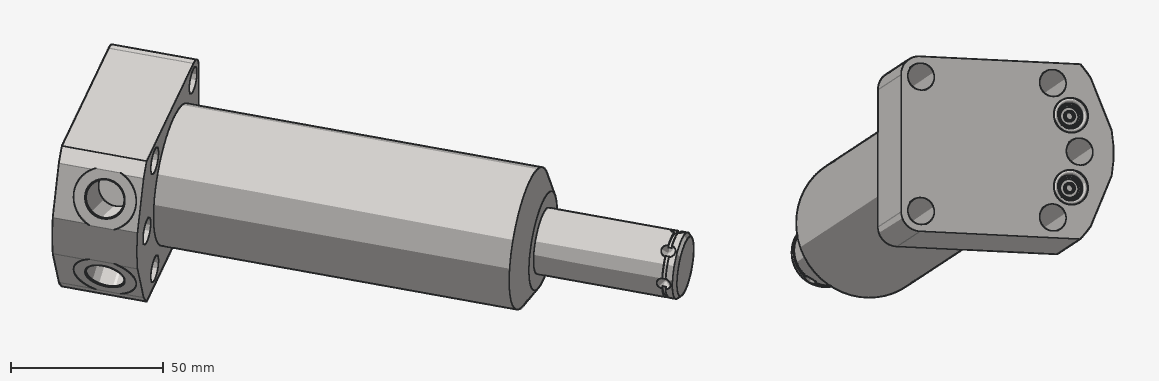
import math

import cadquery as cq

flange_thickness = 29.0
flange_half_width = 29.16
nose_radius = 43.1
back_corner_radius = 6.3
port_angle = 22.5
flat_half_angle = 12.5

mount_hole_diameter = 9.0
mount_hole_spacing = 44.8
nose_hole_offset = 31.5

port_x = 16.8
port_diameter = 12.9
port_mouth_diameter = 13.6
port_depth = 16.0
spotface_diameter = 21.3
spotface_depth = 0.1

valve_y = -28.6
valve_z = 12.0
valve_bore_radius = 5.8
rim_base_depth = 0.7
rim_crest_depth = 0.1
well_radius = 4.3
rim_crest_radius = (valve_bore_radius + well_radius) / 2
well_depth = 1.6
well_step_width = 0.6
well_step_depth = 0.5
stem_radius = 1.8
stem_hole_radius = 1.3
stem_hole_depth = 1.0

body_radius = 23.75
body_end_x = 155.1
body_taper_length = 4.6
body_tip_radius = 16.5

rod_radius = 11.1
rod_end_x = 203.73
rod_chamfer = 1.2
groove_setback = 4.2
groove_width = 1.2
groove_depth = 0.7
dimple_count = 6
dimple_radius = 2.4


def nose_point(angle, radius=nose_radius):
    """Point (Y, Z) at an angle from the -Y direction, positive toward +Z."""
    turn = math.radians(angle)
    return -radius * math.cos(turn), radius * math.sin(turn)


def make_flange():
    side_angle = math.degrees(math.asin(flange_half_width / nose_radius))
    flat_outer = port_angle + flat_half_angle
    flat_inner = port_angle - flat_half_angle
    outer_arc_middle = (side_angle + flat_outer) / 2
    block = (
        cq.Workplane("YZ")
        .moveTo(flange_half_width, flange_half_width)
        .lineTo(*nose_point(side_angle))
        .threePointArc(nose_point(outer_arc_middle), nose_point(flat_outer))
        .lineTo(*nose_point(flat_inner))
        .threePointArc(nose_point(0), nose_point(-flat_inner))
        .lineTo(*nose_point(-flat_outer))
        .threePointArc(nose_point(-outer_arc_middle), nose_point(-side_angle))
        .lineTo(flange_half_width, -flange_half_width)
        .close()
        .extrude(flange_thickness)
    )
    return block.edges("|X and >Y").fillet(back_corner_radius)


def mount_holes():
    half_spacing = mount_hole_spacing / 2
    centres = [(y, z) for y in (-half_spacing, half_spacing) for z in (-half_spacing, half_spacing)]
    centres.append((-nose_hole_offset, 0))
    return (
        cq.Workplane("YZ")
        .pushPoints(centres)
        .circle(mount_hole_diameter / 2)
        .extrude(flange_thickness)
    )


def port_cutter(angle):
    """Flat-bottomed port with a shallow spotface and a chamfered mouth."""
    flat_distance = nose_radius * math.cos(math.radians(flat_half_angle))
    seat_distance = flat_distance - spotface_depth
    bottom_distance = flat_distance - port_depth
    bore_radius = port_diameter / 2
    mouth_radius = port_mouth_diameter / 2
    spotface_radius = spotface_diameter / 2
    y_out, z_out = nose_point(angle, 1)
    plane = cq.Plane(origin=(port_x, 0, 0), xDir=(0, y_out, z_out), normal=(0, -z_out, y_out))
    return (
        cq.Workplane(plane)
        .moveTo(bottom_distance, 0)
        .lineTo(bottom_distance, bore_radius)
        .lineTo(seat_distance - (mouth_radius - bore_radius), bore_radius)
        .lineTo(seat_distance, mouth_radius)
        .lineTo(seat_distance, spotface_radius)
        .lineTo(nose_radius, spotface_radius)
        .lineTo(nose_radius, 0)
        .close()
        .revolve(360, (0, 0), (1, 0))
    )


def valve_pocket(z):
    """Round pocket around a recessed valve: a rounded rim, a stepped well and a hollow stem."""
    step_radius = well_radius - well_step_width
    ledge_radius = step_radius - well_step_width
    pocket = (
        cq.Workplane("XY")
        .moveTo(0, 0)
        .lineTo(0, valve_bore_radius)
        .lineTo(rim_base_depth, valve_bore_radius)
        .threePointArc((rim_crest_depth, rim_crest_radius), (rim_base_depth, well_radius))
        .lineTo(well_depth, well_radius)
        .lineTo(well_depth, step_radius)
        .lineTo(well_depth + well_step_depth, step_radius)
        .lineTo(well_depth + well_step_depth, ledge_radius)
        .lineTo(well_depth + 2 * well_step_depth, ledge_radius)
        .lineTo(well_depth + 2 * well_step_depth, stem_radius)
        .lineTo(well_depth, stem_radius)
        .lineTo(well_depth, stem_hole_radius)
        .lineTo(well_depth + stem_hole_depth, stem_hole_radius)
        .lineTo(well_depth + stem_hole_depth, 0)
        .close()
        .revolve(360, (0, 0), (1, 0))
    )
    return pocket.translate((0, valve_y, z))


def make_cylinder_and_rod():
    groove_start = rod_end_x - groove_setback - groove_width / 2
    groove_end = groove_start + groove_width
    groove_radius = rod_radius - groove_depth
    return (
        cq.Workplane("XY")
        .moveTo(0, 0)
        .lineTo(0, body_radius)
        .lineTo(body_end_x - body_taper_length, body_radius)
        .lineTo(body_end_x, body_tip_radius)
        .lineTo(body_end_x, rod_radius)
        .lineTo(groove_start, rod_radius)
        .lineTo(groove_start, groove_radius)
        .lineTo(groove_end, groove_radius)
        .lineTo(groove_end, rod_radius)
        .lineTo(rod_end_x - rod_chamfer, rod_radius)
        .lineTo(rod_end_x, rod_radius - rod_chamfer)
        .lineTo(rod_end_x, 0)
        .close()
        .revolve(360, (0, 0, 0), (1, 0, 0))
    )


def rod_dimple(angle):
    """Right-angled conical dimple centred on the rod groove."""
    y_out, z_out = nose_point(angle, 1)
    apex_distance = rod_radius - dimple_radius
    apex = cq.Vector(rod_end_x - groove_setback, y_out * apex_distance, z_out * apex_distance)
    cone_height = 2 * dimple_radius
    cone = cq.Solid.makeCone(0, cone_height, cone_height, pnt=apex, dir=cq.Vector(0, y_out, z_out))
    return cq.Workplane(obj=cone)


result = make_flange().union(make_cylinder_and_rod())
result = result.cut(mount_holes())
for side in (-1, 1):
    result = result.cut(port_cutter(side * port_angle))
    result = result.cut(valve_pocket(side * valve_z))
for dimple in range(dimple_count):
    result = result.cut(rod_dimple(dimple * 360 / dimple_count))